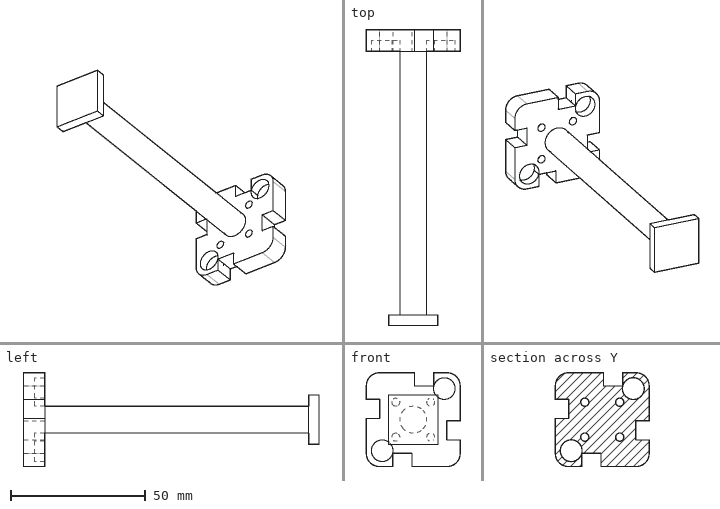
import cadquery as cq

total_length = 110.0

plate_side = 35.0
plate_thickness = 8.0
corner_radius = 5.0

notch_width = 7.0
notch_depth = 5.0
notch_start = 0.5

large_hole_diameter = 8.0
large_hole_offset = 11.5
large_hole_depth = 4.0
small_hole_diameter = 3.0
small_hole_spacing = 13.0
small_hole_depth = large_hole_depth

rod_diameter = 10.0
pad_side = 18.4
pad_thickness = 4.0

pad_outer_y = -total_length / 2
plate_back_y = total_length / 2
plate_front_y = plate_back_y - plate_thickness
pad_inner_y = pad_outer_y + pad_thickness


def plane_at(y):
    """XZ workplane at the given Y, with its normal toward -Y."""
    return cq.Workplane("XZ", origin=(0, y, 0))


def make_plate():
    plate = plane_at(plate_back_y).rect(plate_side, plate_side).extrude(plate_thickness)
    plate = plate.edges("|Y").fillet(corner_radius)
    notch = (
        plane_at(plate_back_y)
        .center(notch_start + notch_width / 2, plate_side / 2 - notch_depth / 2)
        .rect(notch_width, notch_depth)
        .extrude(plate_thickness)
    )
    for quarter_turn in range(4):
        plate = plate.cut(notch.rotate((0, 0, 0), (0, 1, 0), 90 * quarter_turn))
    return plate


def blind_holes(points, diameter, depth):
    """Cutting cylinders sunk into the plate from its rod-side face."""
    return plane_at(plate_front_y).pushPoints(points).circle(diameter / 2).extrude(-depth)


large_hole_points = [(side * large_hole_offset, side * large_hole_offset) for side in (-1, 1)]

small_reach = small_hole_spacing / 2
small_hole_points = [(x, z) for x in (-small_reach, small_reach) for z in (-small_reach, small_reach)]

plate = (
    make_plate()
    .cut(blind_holes(large_hole_points, large_hole_diameter, large_hole_depth))
    .cut(blind_holes(small_hole_points, small_hole_diameter, small_hole_depth))
)
rod = plane_at(plate_front_y).circle(rod_diameter / 2).extrude(plate_front_y - pad_inner_y)
pad = plane_at(pad_inner_y).rect(pad_side, pad_side).extrude(pad_thickness)

result = plate.union(rod).union(pad)